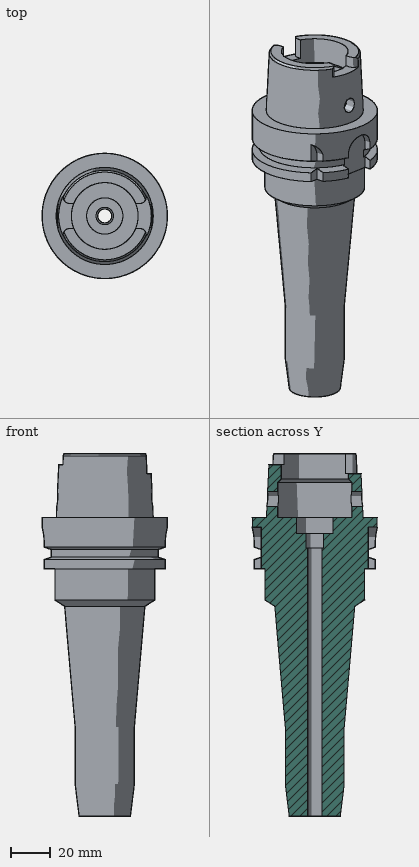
import cadquery as cq

total_length = 182.0

shank_top_radius = 23.0
shank_base_radius = 24.4
shank_chamfer_radial = 1.0
shank_chamfer_height = 1.1

flange_radius = 31.5
flange_top_depth = 32.0
flange_bottom_depth = 57.9
groove_radius = 27.8
groove_top_depth = 47.0
groove_bottom_depth = 53.1
groove_bevel_height = 1.3

collar_radius = 25.1
collar_bevel_depth = 73.5
collar_bottom_depth = 76.6
neck_top_radius = 20.2
nose_radius = 15.0
nose_top_depth = 137.2
nose_bottom_depth = 165.8
tip_radius = 13.0

mouth_radius = 16.7
mouth_depth = 12.7
chamber_radius = 18.5
chamber_bevel_height = chamber_radius - mouth_radius
chamber_depth = 32.0
counterbore_radius = 9.1
counterbore_depth = 40.0
pilot_radius = 4.4
pilot_depth = 47.3
through_radius = 3.5

slot_width = 12.5
slot_corner_radius = 3.3
shallow_slot_depth = 5.5
deep_slot_depth = 10.0

cross_hole_radius = 3.6
cross_hole_depth = 22.8

arch_radius = 8.0
arch_center_depth = 45.0
keyway_floor_x = 27.0
notch_floor_x = 20.0
notch_edge_y = 20.0


def height(depth):
    """Z level of a point given its depth below the top face."""
    return total_length - depth


def revolve_profile(points):
    """Turn (radius, depth) points around the Z axis."""
    profile = [(radius, height(depth)) for radius, depth in points]
    return cq.Workplane("XZ").polyline(profile).close().revolve(360, (0, 0), (0, 1))


def turned_body():
    return revolve_profile([
        (0, 0),
        (shank_top_radius - shank_chamfer_radial, 0),
        (shank_top_radius, shank_chamfer_height),
        (shank_base_radius, flange_top_depth),
        (flange_radius, flange_top_depth),
        (flange_radius, groove_top_depth),
        (groove_radius, groove_top_depth + groove_bevel_height),
        (groove_radius, groove_bottom_depth - groove_bevel_height),
        (flange_radius, groove_bottom_depth),
        (flange_radius, flange_bottom_depth),
        (collar_radius, flange_bottom_depth),
        (collar_radius, collar_bevel_depth),
        (neck_top_radius, collar_bottom_depth),
        (nose_radius, nose_top_depth),
        (nose_radius, nose_bottom_depth),
        (tip_radius, total_length),
        (0, total_length),
    ])


def stepped_bore():
    return revolve_profile([
        (0, 0),
        (mouth_radius, 0),
        (mouth_radius, mouth_depth),
        (chamber_radius, mouth_depth + chamber_bevel_height),
        (chamber_radius, chamber_depth),
        (counterbore_radius, chamber_depth),
        (counterbore_radius, counterbore_depth),
        (pilot_radius, counterbore_depth),
        (pilot_radius, pilot_depth),
        (through_radius, pilot_depth),
        (through_radius, total_length),
        (0, total_length),
    ])


def drive_slot(side, depth):
    """Rim slot whose mouth flares outward with rounded vertical corners."""
    half_width = slot_width / 2
    flare_half_width = half_width + slot_corner_radius
    flare_x = (shank_top_radius**2 - flare_half_width**2) ** 0.5
    round_start_x = flare_x - slot_corner_radius
    diagonal = slot_corner_radius * 0.5**0.5
    arc_mid_x = round_start_x + diagonal
    arc_mid_y = flare_half_width - diagonal
    return (
        cq.Workplane("XY", origin=(0, 0, height(depth)))
        .moveTo(0, -half_width)
        .lineTo(side * round_start_x, -half_width)
        .threePointArc((side * arc_mid_x, -arc_mid_y), (side * flare_x, -flare_half_width))
        .lineTo(side * flange_radius, -flare_half_width)
        .lineTo(side * flange_radius, flare_half_width)
        .lineTo(side * flare_x, flare_half_width)
        .threePointArc((side * arc_mid_x, arc_mid_y), (side * round_start_x, half_width))
        .lineTo(0, half_width)
        .close()
        .extrude(depth)
    )


def arched_pocket(side, floor_x, center_y):
    """Round-topped pocket open at the flange underside, cut inward along X to floor_x."""
    arch_z = height(arch_center_depth)
    bottom_z = height(flange_bottom_depth)
    return (
        cq.Workplane("YZ", origin=(side * floor_x, 0, 0))
        .moveTo(center_y - arch_radius, bottom_z)
        .lineTo(center_y - arch_radius, arch_z)
        .threePointArc((center_y, arch_z + arch_radius), (center_y + arch_radius, arch_z))
        .lineTo(center_y + arch_radius, bottom_z)
        .close()
        .extrude(side * flange_radius)
    )


cross_hole = (
    cq.Workplane("YZ")
    .center(0, height(cross_hole_depth))
    .circle(cross_hole_radius)
    .extrude(flange_radius, both=True)
)

result = turned_body().cut(stepped_bore()).cut(cross_hole)
result = result.cut(drive_slot(-1, shallow_slot_depth))
result = result.cut(drive_slot(1, deep_slot_depth))
for side in (-1, 1):
    result = result.cut(arched_pocket(side, keyway_floor_x, 0))
result = result.cut(arched_pocket(-1, notch_floor_x, notch_edge_y + arch_radius))